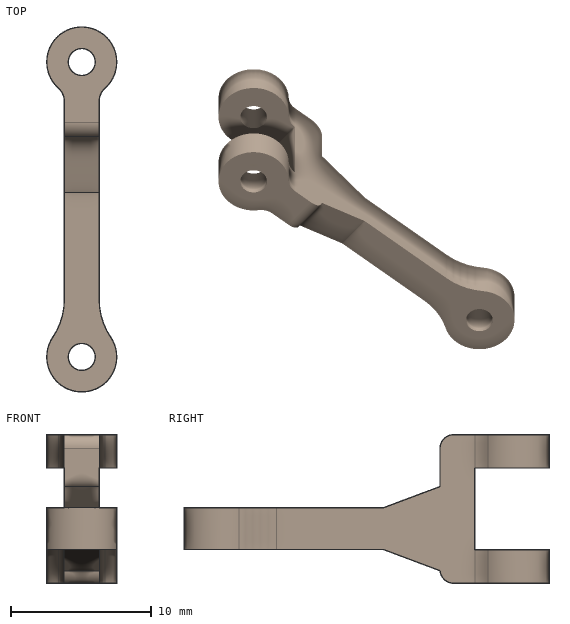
import cadquery as cq
import math

eye_radius = 2.5
hole_diameter = 1.9
eye_spacing = 21.0
fork_eye_y = 0.0
rod_eye_y = fork_eye_y - eye_spacing

total_height = 10.6
lug_thickness = 2.4
rod_thickness = 3.0
rod_bottom = lug_thickness
rod_top = rod_bottom + rod_thickness

arm_width = 2.5
half_width = arm_width / 2
web_depth = 2.5
web_corner_radius = 1.0
taper_length = 4.0
taper_rise = 1.5

fork_blend_radius = 1.25
rod_blend_radius = 4.75


def blend_length(blend_radius):
    """Distance from the eye centre to where a tangent blend meets the arm side."""
    return math.sqrt((eye_radius + blend_radius) ** 2 - (half_width + blend_radius) ** 2)


web_front_y = fork_eye_y - blend_length(fork_blend_radius)
web_back_y = web_front_y - web_depth
taper_end_y = web_back_y - taper_length


def eye_with_neck(eye_y, arm_direction, blend_radius, bottom, thickness):
    """Round eye whose sides run through concave tangent arcs into the arm width."""
    neck = blend_length(blend_radius)
    center_x = half_width + blend_radius
    share = eye_radius / (eye_radius + blend_radius)
    touch_x = center_x * share
    touch_y = eye_y + arm_direction * neck * share
    start_angle = math.atan2(neck, center_x)
    mid_x = center_x - blend_radius * math.cos(start_angle / 2)
    mid_y = eye_y + arm_direction * (neck - blend_radius * math.sin(start_angle / 2))
    neck_y = eye_y + arm_direction * neck
    return (
        cq.Workplane("XY", origin=(0, 0, bottom))
        .moveTo(half_width, neck_y)
        .threePointArc((mid_x, mid_y), (touch_x, touch_y))
        .threePointArc((0, eye_y - arm_direction * eye_radius), (-touch_x, touch_y))
        .threePointArc((-mid_x, mid_y), (-half_width, neck_y))
        .close()
        .extrude(thickness)
    )


def fork_web():
    """Upright block joining the two fork eyes, rounded along its back edges."""
    return (
        cq.Workplane("XY")
        .center(0, (web_front_y + web_back_y) / 2)
        .rect(arm_width, web_front_y - web_back_y)
        .extrude(total_height)
        .edges("|X and <Y")
        .fillet(web_corner_radius)
    )


def tapered_arm():
    """Straight arm that flares in height, its slopes running on into the web."""
    overlap = web_corner_radius
    root_y = web_back_y + overlap
    root_rise = taper_rise * (taper_length + overlap) / taper_length
    neck_y = rod_eye_y + blend_length(rod_blend_radius)
    return (
        cq.Workplane("YZ")
        .polyline([
            (neck_y, rod_bottom),
            (taper_end_y, rod_bottom),
            (root_y, rod_bottom - root_rise),
            (root_y, rod_top + root_rise),
            (taper_end_y, rod_top),
            (neck_y, rod_top),
        ])
        .close()
        .extrude(half_width, both=True)
    )


def pin_holes():
    """Vertical pin bores through the rod eye and through both fork eyes."""
    return (
        cq.Workplane("XY")
        .pushPoints([(0, rod_eye_y), (0, fork_eye_y)])
        .circle(hole_diameter / 2)
        .extrude(total_height)
    )


result = fork_web().union(tapered_arm())
result = result.union(eye_with_neck(rod_eye_y, 1, rod_blend_radius, rod_bottom, rod_thickness))
for lug_bottom in (0, total_height - lug_thickness):
    lug = eye_with_neck(fork_eye_y, -1, fork_blend_radius, lug_bottom, lug_thickness)
    result = result.union(lug)
result = result.cut(pin_holes())